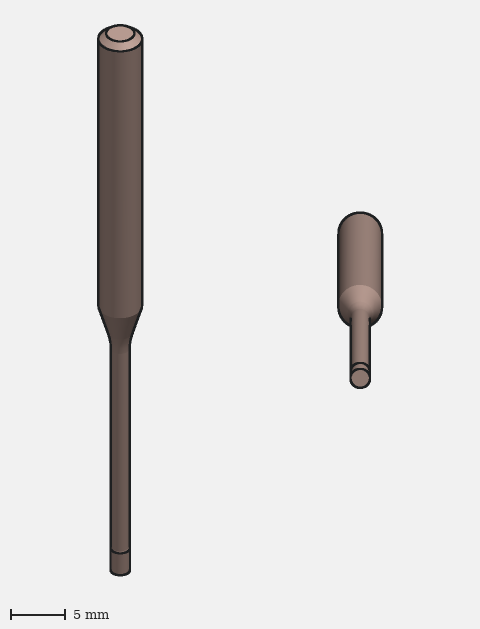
import cadquery as cq
import math

total_length = 60.0
shank_radius = 4.0 / 2
shank_bottom = 29.5
top_chamfer_height = 0.6
top_chamfer_width = 0.7

tip_radius = 0.9
tip_length = 2.45

neck_radius = 1.75 / 2
step_height = 0.2
neck_top = 24.7
cone_bottom = 26.5

flare_height = cone_bottom - neck_top
cone_angle = math.atan2(shank_radius - neck_radius, shank_bottom - (neck_top + cone_bottom) / 2)


def solve_flare():
    """Return the flare radius and the radius where the flare meets the cone."""
    arc_radius = flare_height / math.sin(cone_angle)
    end_radius = neck_radius + arc_radius * (1 - math.cos(cone_angle))
    return arc_radius, end_radius


def make_shank():
    """Shank with cone, flare and neck, turned as one profile."""
    flare_radius, cone_bottom_radius = solve_flare()
    flare_middle = (
        neck_radius + flare_radius * (1 - math.cos(cone_angle / 2)),
        neck_top + flare_radius * math.sin(cone_angle / 2),
    )
    profile = (
        cq.Workplane("XZ")
        .moveTo(0, tip_length)
        .lineTo(tip_radius, tip_length)
        .lineTo(neck_radius, tip_length + step_height)
        .lineTo(neck_radius, neck_top)
        .threePointArc(flare_middle, (cone_bottom_radius, cone_bottom))
        .lineTo(shank_radius, shank_bottom)
        .lineTo(shank_radius, total_length - top_chamfer_height)
        .lineTo(shank_radius - top_chamfer_width, total_length)
        .lineTo(0, total_length)
        .close()
    )
    return profile.revolve(360, (0, 0, 0), (0, 1, 0))


def make_tip():
    """Plain cylindrical cutting tip below the neck."""
    return cq.Workplane("XY").circle(tip_radius).extrude(tip_length)


shank = make_shank()
tip = make_tip()

result = cq.Compound.makeCompound([shank.val(), tip.val()])